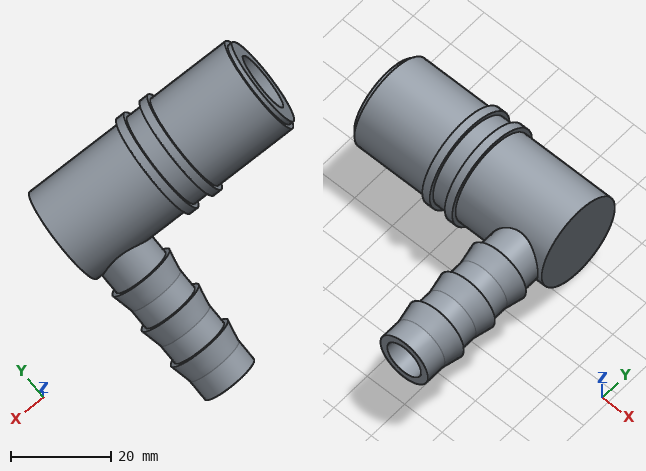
import cadquery as cq

barrel_length = 51.0
barrel_radius = 11.0
mouth_lip_length = 1.0
mouth_lip_radius = 10.0

socket_radius = 6.5
socket_depth = 22.0
passage_radius = 4.5

ring_radius = 12.0
ring_width = 2.0
first_ring_start = 20.0
ring_pitch = 6.0
ring_count = 2

tail_length = 44.0
tail_radius = 6.35

barb_radius = 7.35
barb_length = 14.0 / 3.0
barb_pitch = 2 * barb_length
first_barb_start = barrel_radius + barb_length
barb_count = 3

tail_x = barrel_length - barb_radius


def barrel_cylinder(start, end, radius):
    """Cylinder on the barrel axis between two X positions."""
    return cq.Workplane("YZ", origin=(start, 0, 0)).circle(radius).extrude(end - start)


def tail_cylinder(start, end, radius):
    """Cylinder on the tail axis between two distances from the barrel axis, counted towards -Y."""
    return cq.Workplane("XZ", origin=(tail_x, -start, 0)).circle(radius).extrude(end - start)


def make_barb(start):
    """Cone that tapers from its sharp shoulder down to the tail."""
    return (
        cq.Workplane("XZ", origin=(tail_x, -start, 0))
        .circle(barb_radius)
        .workplane(offset=barb_length)
        .circle(tail_radius)
        .loft()
    )


def make_passage():
    """Narrow bore that runs along the barrel and turns into the tail with a mitred corner."""
    barrel_leg = barrel_cylinder(0, tail_x, passage_radius)
    tail_leg = tail_cylinder(0, tail_length, passage_radius)

    barrel_crossing = barrel_cylinder(0, barrel_length, passage_radius)
    tail_crossing = tail_cylinder(-barrel_radius, barrel_radius, passage_radius)
    corner = barrel_crossing.intersect(tail_crossing)
    return barrel_leg.union(tail_leg).union(corner)


def make_elbow():
    """Barrel with a stepped mouth and a barbed hose tail, bored right through."""
    body = barrel_cylinder(mouth_lip_length, barrel_length, barrel_radius)
    body = body.union(barrel_cylinder(0, mouth_lip_length, mouth_lip_radius))
    body = body.union(tail_cylinder(0, tail_length, tail_radius))
    for index in range(barb_count):
        body = body.union(make_barb(first_barb_start + index * barb_pitch))
    body = body.cut(barrel_cylinder(0, socket_depth, socket_radius))
    return body.cut(make_passage())


def make_ring(start):
    """Flat ring fitted around the barrel."""
    end = start + ring_width
    return barrel_cylinder(start, end, ring_radius).cut(barrel_cylinder(start, end, barrel_radius))


elbow = make_elbow().solids()
rings = [make_ring(first_ring_start + index * ring_pitch).solids() for index in range(ring_count)]

result = cq.Compound.makeCompound([elbow.val(), *[ring.val() for ring in rings]])